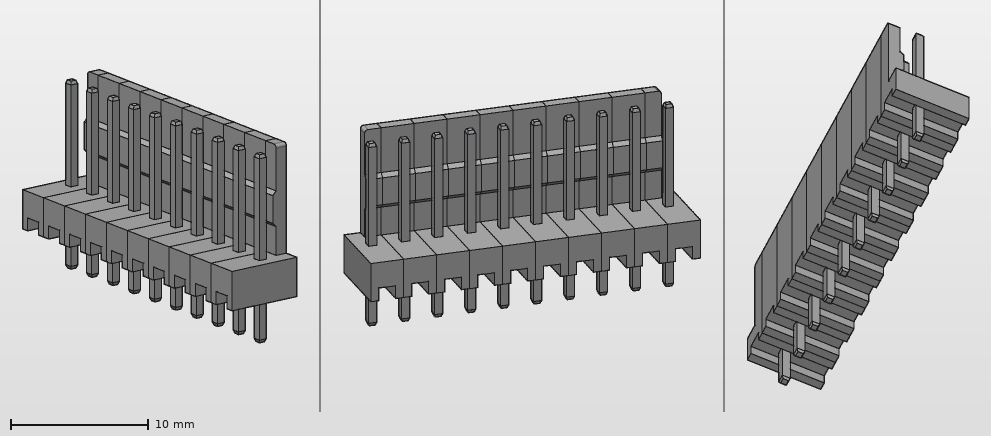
import cadquery as cq

segment_count = 10
pitch = 2.55

base_depth = 5.9
base_height = 3.0
slot_width = 1.3
slot_height = 1.0

pin_width = 0.64
pin_top = 8.0
pin_bottom = -6.3
pin_y = -2.4
tip_length = 0.25
tip_inset = 0.1

wall_height = 8.4
wall_thickness = 0.95
wall_end_inset = pitch / 2
wall_corner_radius = 0.25
ridge_projection = 0.3
ridge_bottom = 2.18
ridge_top = 4.9


def make_base(center_x):
    block = cq.Workplane("XY").box(pitch, base_depth, base_height, centered=(True, False, False))
    slot = cq.Workplane("XY").box(slot_width, base_depth, slot_height, centered=(True, False, False))
    return block.cut(slot).translate((center_x, -base_depth, -base_height))


def make_pin(center_x):
    return (
        cq.Workplane("XY", origin=(center_x, pin_y, pin_bottom))
        .rect(pin_width, pin_width)
        .extrude(pin_top - pin_bottom)
        .faces("<Z or >Z")
        .chamfer(tip_length, tip_inset)
    )


def make_full_wall():
    """Wall of the whole row: a ridged profile in YZ run along X, with its two upper corners rounded."""
    front = -wall_thickness
    ridge_front = front - ridge_projection
    length = segment_count * pitch - 2 * wall_end_inset
    profile = [
        (0, 0),
        (front, 0),
        (front, ridge_bottom),
        (ridge_front, ridge_bottom + ridge_projection),
        (ridge_front, ridge_top - ridge_projection),
        (front, ridge_top),
        (front, wall_height),
        (0, wall_height),
    ]
    wall = cq.Workplane("YZ").polyline(profile).close().extrude(length / 2, both=True)
    return wall.edges("(<X or >X) and >Z").fillet(wall_corner_radius)


def make_segment(center_x, full_wall):
    """One body: the base and pin with the stretch of wall that stands within the segment's pitch."""
    span = (
        cq.Workplane("XY", origin=(center_x, 0, 0))
        .box(pitch, 2 * base_depth, wall_height, centered=(True, True, False))
    )
    wall = full_wall.intersect(span)
    return make_base(center_x).union(wall).union(make_pin(center_x)).solids().val()


full_wall = make_full_wall()
first_center_x = -(segment_count - 1) * pitch / 2
segments = []
for index in range(segment_count):
    segments.append(make_segment(first_center_x + index * pitch, full_wall))

result = cq.Compound.makeCompound(segments)